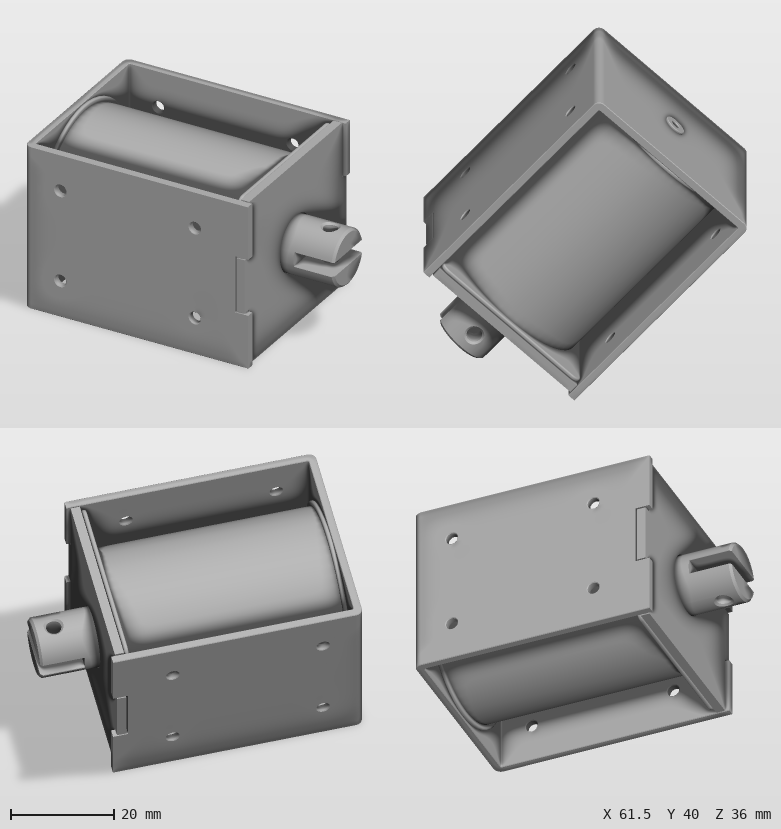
import cadquery as cq


EDGE_BREAK = 0.1

FRAME_LENGTH = 50.0
FRAME_WIDTH = 40.0
FRAME_HEIGHT = 36.0
WALL = 1.6
BEND_OUTER_RADIUS = 1.5
BEND_INNER_RADIUS = 0.3
MOUNT_HOLE_DIA = 2.45
MOUNT_HOLE_MOUTH_DIA = 2.75
MOUNT_HOLE_FIRST_X = 8.05
MOUNT_HOLE_PITCH_X = 30.0
MOUNT_HOLE_PITCH_Z = 20.0
NOTCH_DEPTH = 3.0
NOTCH_HEIGHT = 12.4

PLATE_REAR_X = 47.35
PLATE_FRONT_X = 49.2
PLATE_THICKNESS = PLATE_FRONT_X - PLATE_REAR_X
PLATE_WIDTH = 36.3
TAB_HEIGHT = 11.8
PLATE_BORE_DIA = 12.4

FLANGE_THICKNESS = 0.85
FLANGE_EDGE_RADIUS = 0.35
BOBBIN_LENGTH = 45.6
REAR_FLANGE_DIA = 35.6
FRONT_FLANGE_WIDTH = 36.4
FRONT_FLANGE_HEIGHT = 36.0
FRONT_FLANGE_CORNER_RADIUS = 2.0
TUBE_OUTER_DIA = 14.6
TUBE_BORE_DIA = 12.3

COIL_DIA = 33.6
COIL_REAR_X = WALL + FLANGE_THICKNESS
COIL_LENGTH = BOBBIN_LENGTH - 2 * FLANGE_THICKNESS

CORE_DIA = TUBE_BORE_DIA
CORE_FRONT_X = 18.45
RIVET_DIA = 4.5
RIVET_PROTRUSION = 0.5
CORE_HOLE_DIA = 1.8
CORE_HOLE_MOUTH_DIA = 2.0
CORE_HOLE_DEPTH = 6.15

PLUNGER_DIA = 12.0
PLUNGER_END_X = 61.5 - RIVET_PROTRUSION
PLUNGER_END_CHAMFER = 0.5
SLOT_WIDTH = 3.0
SLOT_DEPTH = 8.85
PIN_HOLE_DIA = 3.0
PIN_HOLE_CHAMFER = 0.4
PIN_HOLE_FROM_END = 4.0


def box(x_start, length, width, height):
    """Box from x_start along +X, centred on the plunger axis in Y and Z."""
    start = cq.Workplane("XY", origin=(x_start, 0, 0))
    return start.box(length, width, height, centered=(False, True, True))


def rod(x_start, length, diameter):
    """Cylinder on the plunger axis from x_start along +X."""
    return cq.Workplane("YZ", origin=(x_start, 0, 0)).circle(diameter / 2).extrude(length)


def chamfered_bore(x_start, depth, diameter, mouth_diameter):
    """Cutter for a bore from x_start along +X, with a 45-degree chamfer at its mouth."""
    mouth_radius = mouth_diameter / 2
    chamfer = mouth_radius - diameter / 2
    mouth = cq.Workplane("YZ", origin=(x_start, 0, 0)).circle(mouth_radius).extrude(chamfer, taper=45)
    return rod(x_start, depth, diameter).union(mouth)


def make_frame():
    inner_width = FRAME_WIDTH - 2 * WALL
    outside = box(0, FRAME_LENGTH, FRAME_WIDTH, FRAME_HEIGHT).edges("|Z and <X").fillet(BEND_OUTER_RADIUS)
    inside = box(WALL, FRAME_LENGTH, inner_width, FRAME_HEIGHT).edges("|Z and <X").fillet(BEND_INNER_RADIUS)
    free_end = cq.selectors.BoxSelector(
        (FRAME_LENGTH - WALL / 2, -FRAME_WIDTH, -FRAME_HEIGHT),
        (FRAME_LENGTH + WALL / 2, FRAME_WIDTH, FRAME_HEIGHT),
    )
    frame = outside.cut(inside)
    long_edges = cq.selectors.SubtractSelector(cq.Selector(), free_end)
    frame = frame.faces("|Z").edges(long_edges).chamfer(EDGE_BREAK)

    notches = box(FRAME_LENGTH - NOTCH_DEPTH, NOTCH_DEPTH, FRAME_WIDTH, NOTCH_HEIGHT)
    frame = frame.cut(notches)

    one_mouth_hole = chamfered_bore(-WALL / 2, WALL, MOUNT_HOLE_DIA, MOUNT_HOLE_MOUTH_DIA)
    hole = one_mouth_hole.union(one_mouth_hole.mirror("YZ")).rotate((0, 0, 0), (0, 0, 1), 90)
    arm_middle_y = (FRAME_WIDTH - WALL) / 2
    for x in (MOUNT_HOLE_FIRST_X, MOUNT_HOLE_FIRST_X + MOUNT_HOLE_PITCH_X):
        for z in (-MOUNT_HOLE_PITCH_Z / 2, MOUNT_HOLE_PITCH_Z / 2):
            for y in (-arm_middle_y, arm_middle_y):
                frame = frame.cut(hole.translate((x, y, z)))
    return frame.cut(rod(0, WALL, RIVET_DIA))


def make_front_plate():
    plate = box(PLATE_REAR_X, PLATE_THICKNESS, PLATE_WIDTH, FRAME_HEIGHT)
    tabs = box(PLATE_REAR_X, PLATE_THICKNESS, FRAME_WIDTH, TAB_HEIGHT)
    return plate.union(tabs).cut(rod(PLATE_REAR_X, PLATE_THICKNESS, PLATE_BORE_DIA))


def make_bobbin():
    rear_flange = rod(WALL, FLANGE_THICKNESS, REAR_FLANGE_DIA).edges().fillet(FLANGE_EDGE_RADIUS)
    front_flange_x = WALL + BOBBIN_LENGTH - FLANGE_THICKNESS
    front_flange = (
        box(front_flange_x, FLANGE_THICKNESS, FRONT_FLANGE_WIDTH, FRONT_FLANGE_HEIGHT)
        .edges("|X")
        .fillet(FRONT_FLANGE_CORNER_RADIUS)
        .faces("<X or >X")
        .edges()
        .fillet(FLANGE_EDGE_RADIUS)
    )
    tube = rod(WALL, BOBBIN_LENGTH, TUBE_OUTER_DIA)
    bore = rod(WALL, BOBBIN_LENGTH, TUBE_BORE_DIA)
    return rear_flange.union(tube).union(front_flange).cut(bore)


def make_coil():
    winding = rod(COIL_REAR_X, COIL_LENGTH, COIL_DIA)
    return winding.cut(rod(COIL_REAR_X, COIL_LENGTH, TUBE_OUTER_DIA))


def make_core():
    core = rod(WALL, CORE_FRONT_X - WALL, CORE_DIA)
    rivet = rod(-RIVET_PROTRUSION, WALL + RIVET_PROTRUSION, RIVET_DIA).faces("<X").chamfer(EDGE_BREAK)
    hole = chamfered_bore(-RIVET_PROTRUSION, CORE_HOLE_DEPTH, CORE_HOLE_DIA, CORE_HOLE_MOUTH_DIA)
    return core.union(rivet).cut(hole)


def make_plunger():
    plunger = rod(CORE_FRONT_X, PLUNGER_END_X - CORE_FRONT_X, PLUNGER_DIA)
    plunger = plunger.faces(">X").chamfer(PLUNGER_END_CHAMFER)

    slot_start_x = PLUNGER_END_X - SLOT_DEPTH
    plunger = plunger.cut(box(slot_start_x, SLOT_DEPTH, PLUNGER_DIA, SLOT_WIDTH))
    slot_side_edges = cq.selectors.BoxSelector(
        (slot_start_x, -PLUNGER_DIA, -SLOT_WIDTH),
        (PLUNGER_END_X - PLUNGER_END_CHAMFER, PLUNGER_DIA, SLOT_WIDTH),
    )
    plunger = plunger.edges("|X").edges(slot_side_edges).chamfer(EDGE_BREAK)

    pin_x = PLUNGER_END_X - PIN_HOLE_FROM_END
    pin_hole_centre = cq.Workplane("XY", origin=(pin_x, 0, 0))
    pin_hole = pin_hole_centre.circle(PIN_HOLE_DIA / 2).extrude(PLUNGER_DIA, both=True)
    plunger = plunger.cut(pin_hole)
    for end in (-1, 1):
        hole_mouth = cq.selectors.BoxSelector(
            (pin_x - PIN_HOLE_DIA, -PIN_HOLE_DIA, end * SLOT_WIDTH),
            (pin_x + PIN_HOLE_DIA, PIN_HOLE_DIA, end * PLUNGER_DIA),
        )
        plunger = plunger.edges("not |Z").edges(hole_mouth).chamfer(PIN_HOLE_CHAMFER)
    return plunger


frame = make_frame()
front_plate = make_front_plate()
bobbin = make_bobbin()
coil = make_coil()
core = make_core()
plunger = make_plunger()

result = cq.Compound.makeCompound([
    frame.val(),
    front_plate.val(),
    bobbin.val(),
    coil.val(),
    core.val(),
    plunger.val(),
])